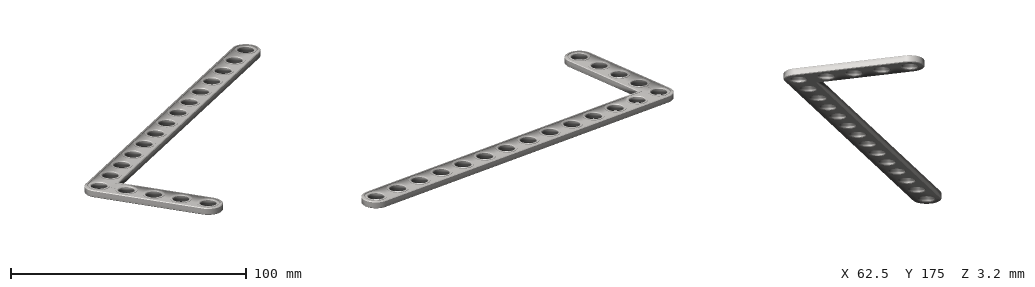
import cadquery as cq

length = 175.0
long_holes = 14
short_holes = 5
thickness = 3.2
hole_diameter = 7.0
ring_diameter = 9.3
recess_depth = 0.2
edge_chamfer = 0.3
groove_width = 0.2
groove_depth = 0.2

pitch = length / long_holes
width = pitch
rim_width = (ring_diameter - hole_diameter) / 2
floor_height = thickness - recess_depth
long_span = (long_holes - 1) * pitch
short_span = (short_holes - 1) * pitch

long_centres = [(0, i * pitch) for i in range(long_holes)]
short_centres = [(i * pitch, 0) for i in range(1, short_holes)]
hole_centres = long_centres + short_centres


def angle_plate(plate_width, bottom, height):
    """L-shaped plate: two round-ended arms that share the corner hole centre."""
    base = cq.Workplane("XY").workplane(offset=bottom)
    long_arm = base.center(0, long_span / 2).slot2D(long_span + plate_width, plate_width, 90).extrude(height)
    short_arm = base.center(short_span / 2, 0).slot2D(short_span + plate_width, plate_width).extrude(height)
    return long_arm.union(short_arm).clean()


def hole_cylinders(diameter, bottom, height):
    """One cylinder on every hole centre."""
    base = cq.Workplane("XY").workplane(offset=bottom)
    return base.pushPoints(hole_centres).circle(diameter / 2).extrude(height)


def corner_groove():
    """Cutter for the thin groove in the recess floor, from the corner ring to the next ring along +X."""
    base = cq.Workplane("XY").workplane(offset=floor_height - groove_depth).center(pitch / 2, 0)
    return base.rect(pitch - ring_diameter, groove_width).extrude(groove_depth)


plate = angle_plate(width, 0, thickness).cut(hole_cylinders(hole_diameter, 0, thickness))
plate = plate.faces("|Z").edges().chamfer(edge_chamfer)

recess = angle_plate(width - 2 * rim_width, floor_height, recess_depth)
recess = recess.cut(hole_cylinders(ring_diameter, floor_height, recess_depth))

result = plate.cut(recess).cut(corner_groove())